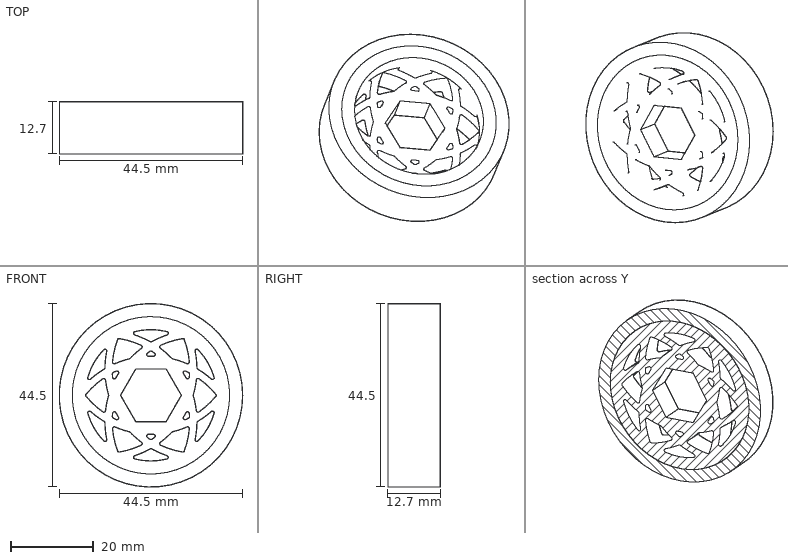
import cadquery as cq
import math

wheel_width = 12.7
web_thickness = 7.62
tire_diameter = 44.45
core_diameter = 38.1
hex_across_flats = 12.7

strut_count = 6
strut_mid_radius = 21.17
strut_width = 1.82
strut_center_offset = 12.6
rim_inner_radius = 15.875
window_corner_radius = 0.4
window_edge_fillet = 0.5

hub_radius = strut_mid_radius - strut_center_offset
strut_angle_step = 360 / strut_count


def cylinder(radius):
    """Cylinder about the wheel axis, from the front face at Y = 0 to the back face."""
    return cq.Workplane("XZ").circle(radius).extrude(-wheel_width)


def strut_ring(angle):
    """Full ring whose near arc forms one strut, turned about the wheel axis by the angle."""
    ring = (
        cq.Workplane("XZ")
        .center(0, -strut_center_offset)
        .circle(strut_mid_radius + strut_width / 2)
        .circle(strut_mid_radius - strut_width / 2)
        .extrude(-wheel_width)
    )
    return ring.rotate((0, 0, 0), (0, 1, 0), angle)


def lattice_windows():
    """Openings left between the hub, the struts and the rim, with rounded corners."""
    windows = cylinder(rim_inner_radius).cut(cylinder(hub_radius))
    for index in range(strut_count):
        windows = windows.cut(strut_ring(index * strut_angle_step))
    return windows.edges("|Y").fillet(window_corner_radius)


def make_core():
    """Wheel core: a rim with a front web that holds the windows and a hexagonal bore."""
    core = cylinder(core_diameter / 2).cut(lattice_windows())

    front_face = core.faces("<Y").val()
    window_edges = [edge for outline in front_face.innerWires() for edge in outline.Edges()]
    core = core.newObject(window_edges).fillet(window_edge_fillet)

    hex_across_corners = hex_across_flats / math.cos(math.radians(30))
    hex_bore = cq.Workplane("XZ").polygon(6, hex_across_corners).extrude(-wheel_width)
    back_recess = cylinder(rim_inner_radius).translate((0, web_thickness, 0))
    return core.cut(hex_bore).cut(back_recess)


def make_tire():
    """Plain tire ring, flush with the core on both faces."""
    return cylinder(tire_diameter / 2).cut(cylinder(core_diameter / 2))


core = make_core()
tire = make_tire()

result = cq.Compound.makeCompound([core.val(), tire.val()])